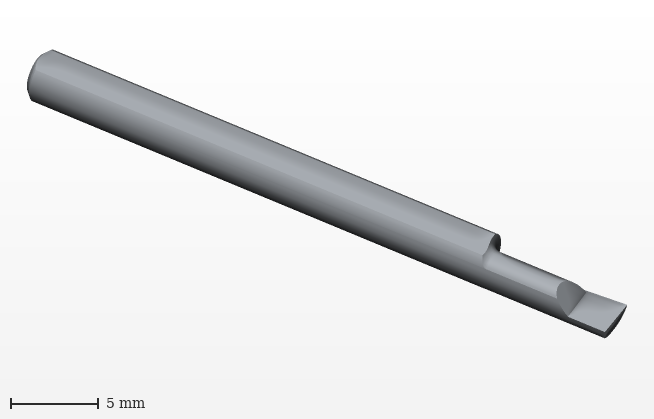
import cadquery as cq
import math

total_length = 38.1
shank_diameter = 3.175
shank_radius = shank_diameter / 2
overall_height = 2.91
flat_height = overall_height - shank_radius
back_chamfer = 0.4

neck_length = 8.0
neck_radius = 1.14
neck_side_y = 0.56
neck_center_y = neck_side_y - neck_radius
neck_start = total_length - neck_length
shoulder_fillet = 0.65
shoulder_x = neck_start - shoulder_fillet

corner_y = 0.87
head_length = 4.2
side_angle = math.degrees(math.atan2(corner_y - neck_side_y, head_length))
rake_length = 2.5
heel_x = total_length - rake_length
ramp_angle = 45
end_clearance_angle = 10
end_back_angle = 2

reach = 2 * shank_diameter


def cylinder_along_x(radius, start_x, end_x):
    """Round bar centred on the X axis."""
    return cq.Workplane("YZ", origin=(start_x, 0, 0)).circle(radius).extrude(end_x - start_x)


def make_round_blank():
    """Full-length round bar, chamfered at the back end."""
    return cylinder_along_x(shank_radius, 0, total_length).faces("<X").chamfer(back_chamfer)


def make_neck_envelope():
    """Off-centre neck cylinder with a concave fillet up to the shoulder face."""
    flare_radius = neck_radius + shoulder_fillet
    arc_offset = shoulder_fillet * (1 - math.sqrt(0.5))
    profile = (
        cq.Workplane("XY")
        .moveTo(shoulder_x, 0)
        .lineTo(shoulder_x, flare_radius)
        .threePointArc(
            (shoulder_x + arc_offset, neck_radius + arc_offset),
            (neck_start, neck_radius),
        )
        .lineTo(total_length, neck_radius)
        .lineTo(total_length, 0)
        .close()
    )
    neck = profile.revolve(360, (0, 0, 0), (1, 0, 0))
    return neck.translate((0, neck_center_y, 0))


def make_head_envelope():
    """Half-round below the bar axis, leaning so that its side passes through the cutting corner."""
    bar = cylinder_along_x(neck_radius, -neck_length, neck_length)
    lower_half = cq.Workplane("XY").rect(2 * neck_length, 2 * reach).extrude(-reach)
    leaning = bar.intersect(lower_half).rotate((0, 0, 0), (0, 0, 1), side_angle)
    axis_y = corner_y - neck_radius / math.cos(math.radians(side_angle))
    leaning = leaning.translate((total_length, axis_y, 0))
    outer_side = cq.Workplane("XY", origin=(neck_start, neck_center_y, 0))
    outer_side = outer_side.box(neck_length, reach, 2 * reach, centered=(False, False, True))
    return leaning.intersect(outer_side)


def make_flat_cut():
    """Removes everything above the top flat."""
    plane = cq.Workplane("XY", origin=(total_length / 2, 0, flat_height))
    return plane.rect(2 * total_length, 2 * reach).extrude(reach)


def make_rake_cut():
    """Removes the top of the tip down to the bar axis, ending in a ramp."""
    ramp_run = reach / math.tan(math.radians(ramp_angle))
    outline = [
        (heel_x, 0),
        (total_length + reach, 0),
        (total_length + reach, reach),
        (heel_x - ramp_run, reach),
    ]
    return cq.Workplane("XZ").polyline(outline).close().extrude(reach, both=True)


def make_end_cut():
    """Relieves the end face below and behind the cutting corner."""
    block = cq.Workplane("XY").box(reach, 2 * reach, 2 * reach, centered=(False, True, True))
    block = block.rotate((0, 0, 0), (0, 1, 0), end_clearance_angle)
    block = block.rotate((0, 0, 0), (0, 0, 1), -end_back_angle)
    return block.translate((total_length, corner_y, 0))


envelope = cylinder_along_x(shank_diameter, 0, shoulder_x)
envelope = envelope.union(make_neck_envelope()).union(make_head_envelope())

result = make_round_blank().intersect(envelope)
for cutter in (make_flat_cut(), make_rake_cut(), make_end_cut()):
    result = result.cut(cutter)